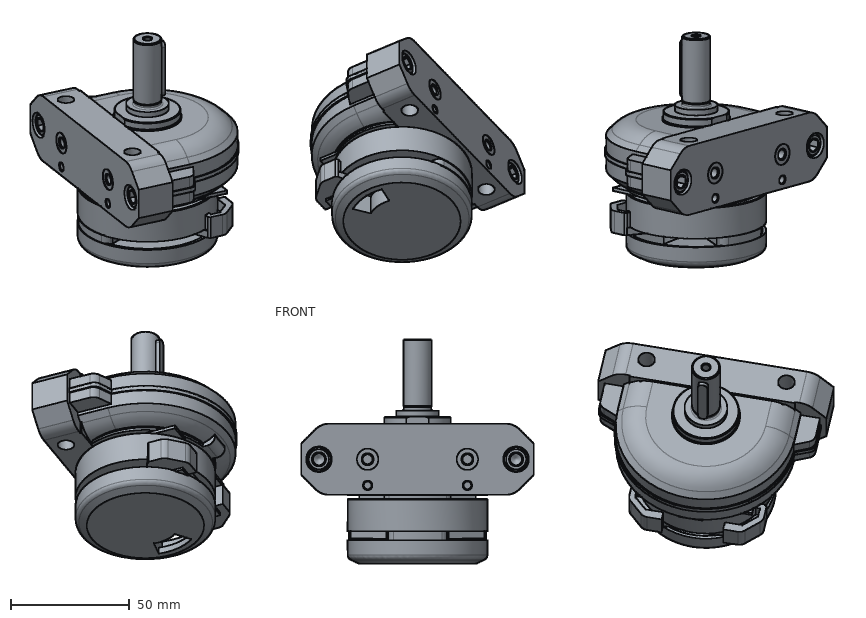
import cadquery as cq
import math


block_width = 98.0
block_height = 30.0
block_front = -30.0
block_back = -13.75
block_chamfer = 8.4
block_corner_radius = 8.0
pad_half_width = 35.5
pad_back = -13.2
through_hole_d = 7.0
through_hole_x = 30.0
through_hole_y = -23.0
port_x = 21.0
port_d = 4.13
port_mouth_d = 5.1
port_spotface_d = 9.0
port_spotface_depth = 0.2
port_depth = 12.0
tapped_hole_z = -11.0
tapped_d = 3.24
tapped_mouth_d = 4.0
tapped_depth = 10.0

screw_x = 41.5
screw_d = 6.0
screw_length = 16.0
head_d = 10.0
head_rim_d = 8.5
head_height = 6.0
head_bore_d = 10.8
head_sink = 0.8
socket_flats = 5.0
socket_depth = 5.0
socket_turn = 30.0
socket_mouth_d = 6.0
socket_mouth_depth = 0.15
socket_corner_d = 2 * socket_flats / math.sqrt(3)

casing_radius = 38.0
casing_wall_z = 7.5
casing_bevel = 2.4
casing_top_radius = 25.5
bevel_radius = casing_radius - casing_bevel
bevel_z = casing_wall_z + casing_bevel
crown_radius = (bevel_radius - casing_top_radius) * math.sqrt(2)
casing_top = bevel_z + crown_radius * (1 - math.cos(math.pi / 4))
seam_offset = 0.55
seam_half_height = 1.0
lug_half_height = 6.0
lug_x = 46.2
lug_root = (38.0, 1.7)
lug_slope = 25.0
lug_corner_radius = 3.8
gap_half_width = 31.0
gap_depth = 1.4
gap_back = -13.0

ring_radius = 14.0
ring_top = 17.8
ring_flat = pad_back
ring_step_radius = 14.4
ring_step_top = 14.7
small_chamfer = 0.35

base_radius = 29.6
base_step = 0.25
base_step_z = -14.0
base_bottom = -15.2
rear_rib_width = 10.0
rear_rib_end = 34.5
rear_rib_root = 28.0
rear_rib_top = -10.5
rear_rib_radius = 3.5

drum_radius = 29.5
drum_top = -16.7
drum_bottom = -30.2
foot_top = -34.0
foot_bottom = -44.0
foot_bottom_radius = 24.7
foot_cone_angle = 26.0
foot_edge_radius = 2.4
foot_recess_radius = 28.0
foot_floor = -34.5
upper_core_radius = 14.0
upper_boss_half_width = 14.0
upper_boss_reach = 26.8
upper_boss_shoulder = -20.5
wing_x = (14.0, 24.6)
wing_front = (6.7, 11.8)
wing_back = 25.0
lower_core_radius = 13.0
lower_boss_half_width = 12.4
lower_boss_reach = 29.2
lower_boss_shoulder = -23.0
boss_root_half_width = 6.0
boss_root_y = -11.0
boss_corner_radius = 3.5
rear_support_half_width = 19.0
rear_support_y = (14.0, 26.0)

drum_lug_top = -23.7
drum_lug_bottom = -33.4
drum_lug_x = (13.2, 28.9)
drum_lug_y = (13.9, 29.8)
drum_lug_chamfer = 7.8
drum_lug_corner_radius = 4.0
drum_lug_front_chamfer = 0.9
lug_pocket_x = (drum_lug_x[0], 26.4)
lug_pocket_y = (16.3, 26.1)
lug_pocket_chamfer = 5.6
lug_pocket_depth = 5.0
arm_front = 6.2
arm_x_end = 28.1

foot_opening_inner_radius = 14.0
foot_opening_lower_radius = 22.0
foot_opening_step = -41.0
foot_opening_angles = (143.0, 190.0)

shaft_d = 12.0
shaft_top = 50.5
shaft_chamfer = 0.5
journal_d = 15.0
journal_bottom = 8.0
collar_d = 18.0
collar_bottom = 18.1
collar_top = 20.5
neck_d = 11.6
neck_top = 22.0
neck_taper_top = 22.6
neck_fillet = 0.6
centre_hole_depth = 10.0
key_width = 4.0
key_height = 4.0
key_length = 25.0
key_bottom_z = 22.8
key_face_y = 7.5

drill_point_angle = 118.0


def box_between(x_range, y_range, z_range):
    """Box spanning the given X, Y and Z ranges."""
    size = [end - start for start, end in (x_range, y_range, z_range)]
    box = cq.Workplane("XY").box(*size, centered=False)
    return box.translate((x_range[0], y_range[0], z_range[0]))


def disc(radius, bottom, top):
    """Cylinder about the Z axis."""
    return cq.Workplane("XY").workplane(offset=bottom).circle(radius).extrude(top - bottom)


def cylinder_along_y(diameter, x, z, start, end):
    """Cylinder parallel to Y between two Y positions."""
    plane = cq.Workplane("XZ", origin=(x, start, z))
    return plane.circle(diameter / 2).extrude(start - end)


def mouthed_hole(x, z, start, diameter, mouth_d, depth):
    """Flat-bottomed hole going +Y with a 45 degree countersunk mouth."""
    mouth_depth = (mouth_d - diameter) / 2
    outline = [
        (0, 0), (mouth_d / 2, 0), (diameter / 2, mouth_depth), (diameter / 2, depth), (0, depth),
    ]
    hole = cq.Workplane("XY").polyline(outline).close().revolve(360, (0, 0), (0, 1))
    return hole.translate((x, start, z))


head_face = block_front + head_sink
head_seat = head_face + head_height
screw_end = head_seat + screw_length


def make_block():
    block = (
        cq.Workplane("XZ", origin=(0, block_back, 0))
        .rect(block_width, block_height)
        .extrude(block_back - block_front)
        .edges("|Y").chamfer(block_chamfer)
    )
    block = block.edges("|Y").edges(">Z or <Z").fillet(block_corner_radius)
    pad = box_between(
        (-pad_half_width, pad_half_width),
        (block_back, pad_back),
        (-block_height / 2, block_height / 2),
    )
    block = block.union(pad)
    for side in (-1, 1):
        through_hole = (
            cq.Workplane("XY", origin=(side * through_hole_x, through_hole_y, 0))
            .circle(through_hole_d / 2)
            .extrude(block_height, both=True)
        )
        spotface_floor = block_front + port_spotface_depth
        spotface = cylinder_along_y(port_spotface_d, side * port_x, 0, block_front, spotface_floor)
        port = mouthed_hole(side * port_x, 0, spotface_floor, port_d, port_mouth_d, port_depth)
        tapped_hole = mouthed_hole(
            side * port_x, tapped_hole_z, block_front, tapped_d, tapped_mouth_d, tapped_depth
        )
        head_bore = cylinder_along_y(head_bore_d, side * screw_x, 0, block_front, head_seat)
        screw_hole = cylinder_along_y(screw_d, side * screw_x, 0, head_seat, screw_end)
        for cutter in (through_hole, spotface, port, tapped_hole, head_bore, screw_hole):
            block = block.cut(cutter)
    return block


def make_screw(side):
    """Cap screw with a chamfered head and a hexagon socket ending in a drill point."""
    head_chamfer = (head_d - head_rim_d) / 2
    outline = [
        (0, 0),
        (head_rim_d / 2, 0),
        (head_d / 2, head_chamfer),
        (head_d / 2, head_height),
        (screw_d / 2, head_height),
        (screw_d / 2, head_height + screw_length),
        (0, head_height + screw_length),
    ]
    screw = cq.Workplane("XY").polyline(outline).close().revolve(360, (0, 0), (0, 1))
    socket = cq.Workplane("XZ").polygon(6, socket_corner_d).extrude(-socket_depth)
    socket = socket.rotate((0, 0, 0), (0, 1, 0), socket_turn)
    point_depth = socket_flats / 2 / math.tan(math.radians(drill_point_angle / 2))
    point_outline = [(0, socket_depth), (socket_flats / 2, socket_depth), (0, socket_depth + point_depth)]
    point = cq.Workplane("XY").polyline(point_outline).close().revolve(360, (0, 0), (0, 1))
    mouth = cylinder_along_y(socket_mouth_d, 0, 0, 0, socket_mouth_depth)
    return screw.cut(socket).cut(point).cut(mouth).translate((side * screw_x, head_face, 0))


def casing_profile():
    """Half section of the casing, from the axis to the rim, in the XZ plane."""
    crown_mid_radius = casing_top_radius + crown_radius * math.sin(math.pi / 8)
    crown_mid_z = casing_top - crown_radius * (1 - math.cos(math.pi / 8))
    return (
        cq.Workplane("XZ")
        .moveTo(0, casing_top)
        .lineTo(casing_top_radius, casing_top)
        .threePointArc((crown_mid_radius, crown_mid_z), (bevel_radius, bevel_z))
        .lineTo(casing_radius, casing_wall_z)
        .lineTo(casing_radius, -casing_wall_z)
        .lineTo(bevel_radius, -bevel_z)
        .threePointArc((crown_mid_radius, -crown_mid_z), (casing_top_radius, -casing_top))
        .lineTo(0, -casing_top)
        .close()
    )


def make_lug_pair(offset, half_height):
    """Both screw lugs, grown outwards by an offset."""
    rise = math.tan(math.radians(lug_slope))
    root_y = lug_root[1] + offset
    outer_x = lug_x + offset
    outline = [
        (0, block_back),
        (outer_x, block_back),
        (outer_x, root_y - rise * (lug_x - lug_root[0])),
        (lug_root[0], root_y),
        (0, root_y),
    ]
    lug = (
        cq.Workplane("XY", origin=(0, 0, -half_height))
        .polyline(outline).close()
        .extrude(2 * half_height)
    )
    lug = lug.edges("|Z").edges(">X").edges(">Y").fillet(lug_corner_radius)
    return lug.union(lug.mirror("YZ"))


def d_shape(radius, flat_y, bottom, top):
    """Disc about Z with a flat at its front."""
    front = box_between((-radius, radius), (-2 * radius, flat_y), (bottom, top))
    return disc(radius, bottom, top).cut(front)


def make_shell():
    dome = casing_profile().revolve(180, (0, 0), (0, 1))
    half = casing_profile().extrude(-block_back)
    shell = dome.union(half).union(half.mirror("YZ"))
    shell = shell.union(make_lug_pair(0, lug_half_height))
    seam_radius = casing_radius + seam_offset
    seam = disc(seam_radius, -seam_half_height, seam_half_height)
    seam_walls = box_between(
        (-seam_radius, seam_radius), (block_back, 0), (-seam_half_height, seam_half_height)
    )
    seam_front = box_between(
        (-seam_radius, seam_radius), (-2 * seam_radius, block_back), (-casing_top, casing_top)
    )
    seam = seam.union(seam_walls).cut(seam_front)
    shell = shell.union(seam).union(make_lug_pair(seam_offset, seam_half_height))
    pad_room = box_between(
        (-pad_half_width, pad_half_width), (block_back, pad_back), (-casing_top, casing_top)
    )
    clearance = box_between(
        (-gap_half_width, gap_half_width), (pad_back, gap_back), (casing_top - gap_depth, casing_top)
    )
    return shell.cut(pad_room).cut(clearance)


def make_top_ring():
    ring = disc(ring_radius, casing_top, ring_top).faces(">Z").chamfer(small_chamfer)
    ring = ring.union(disc(ring_step_radius, casing_top, ring_step_top))
    front = box_between(
        (-ring_step_radius, ring_step_radius), (-2 * ring_radius, ring_flat), (casing_top, ring_top)
    )
    return ring.cut(front)


def make_rear_rib():
    """Rounded rib under the rear edge of the casing."""
    rib = box_between(
        (-rear_rib_width / 2, rear_rib_width / 2),
        (rear_rib_root, rear_rib_end),
        (base_bottom, rear_rib_top),
    )
    return rib.edges("|X").edges(">Y and <Z").fillet(rear_rib_radius)


def wedge(outline, bottom, top):
    """Straight-sided prism with a plan outline in X and Y."""
    return cq.Workplane("XY", origin=(0, 0, bottom)).polyline(outline).close().extrude(top - bottom)


def front_boss(half_width, reach, shoulder_y, bottom, top):
    """Boss flaring forwards from the core to a shoulder, with a round front and rounded corners."""
    outline = [
        (-boss_root_half_width, boss_root_y),
        (-half_width, shoulder_y),
        (-half_width, -reach),
        (half_width, -reach),
        (half_width, shoulder_y),
        (boss_root_half_width, boss_root_y),
    ]
    boss = wedge(outline, bottom, top).intersect(disc(reach, bottom, top))
    return boss.edges("|Z").edges("<Y").fillet(boss_corner_radius)


def make_drum_lug():
    """Pocketed rear lug on the +X side, with an arm reaching forwards below the drum."""
    lug = box_between(drum_lug_x, drum_lug_y, (drum_lug_bottom, drum_lug_top))
    lug = lug.edges("|Z").edges(">X and >Y").chamfer(drum_lug_chamfer)
    lug = lug.faces("#Z").faces(">(1, 1, 0)").edges("|Z").fillet(drum_lug_corner_radius)
    lug = lug.edges("|Z").edges(">X and <Y").chamfer(drum_lug_front_chamfer)
    pocket_floor = drum_lug_top - lug_pocket_depth
    pocket = box_between(lug_pocket_x, lug_pocket_y, (pocket_floor, drum_lug_top))
    pocket = pocket.edges("|Z").edges(">X and >Y").chamfer(lug_pocket_chamfer)
    lug = lug.cut(pocket)
    arm = wedge(
        [(drum_lug_x[0], arm_front), (arm_x_end, drum_lug_y[0]), (drum_lug_x[0], drum_lug_y[0])],
        drum_lug_bottom,
        drum_bottom,
    )
    return lug.union(arm)


def foot_opening(outer_radius, bottom, top):
    """Sector of a ring about Z, spanning the opening angles."""
    start, end = foot_opening_angles
    radial_plane = cq.Plane(
        origin=(0, 0, 0),
        xDir=(math.cos(math.radians(start)), math.sin(math.radians(start)), 0),
        normal=(math.sin(math.radians(start)), -math.cos(math.radians(start)), 0),
    )
    return (
        cq.Workplane(radial_plane)
        .moveTo(foot_opening_inner_radius, bottom)
        .lineTo(outer_radius, bottom)
        .lineTo(outer_radius, top)
        .lineTo(foot_opening_inner_radius, top)
        .close()
        .revolve(end - start, (0, 0), (0, 1))
    )


def make_foot():
    """Bottom disc with a rounded edge running into a shallow cone, and a side opening."""
    rim_z = foot_bottom + (drum_radius - foot_bottom_radius) * math.tan(math.radians(foot_cone_angle))
    outline = [
        (0, foot_top),
        (drum_radius, foot_top),
        (drum_radius, rim_z),
        (foot_bottom_radius, foot_bottom),
        (0, foot_bottom),
    ]
    foot = cq.Workplane("XZ").polyline(outline).close().revolve(360, (0, 0), (0, 1))
    foot = foot.edges(cq.selectors.NearestToPointSelector((0, 0, rim_z))).fillet(foot_edge_radius)
    recess = disc(foot_recess_radius, foot_floor, foot_top)
    upper_opening = foot_opening(foot_recess_radius, foot_opening_step, foot_top)
    lower_opening = foot_opening(foot_opening_lower_radius, foot_bottom, foot_opening_step)
    return foot.cut(recess).cut(upper_opening).cut(lower_opening)


def make_drum():
    drum = disc(drum_radius, drum_bottom, drum_top).faces(">Z").chamfer(small_chamfer)
    drum_lug = make_drum_lug()
    wing = wedge(
        [
            (wing_x[0], wing_front[0]),
            (wing_x[1], wing_front[1]),
            (wing_x[1], wing_back),
            (wing_x[0], wing_back),
        ],
        drum_top,
        base_bottom,
    )
    rear_support = box_between(
        (-rear_support_half_width, rear_support_half_width), rear_support_y, (foot_floor, drum_bottom)
    )
    features = [
        disc(upper_core_radius, drum_top, base_bottom),
        front_boss(upper_boss_half_width, upper_boss_reach, upper_boss_shoulder, drum_top, base_bottom),
        wing,
        wing.mirror("YZ"),
        drum_lug,
        drum_lug.mirror("YZ"),
        disc(lower_core_radius, foot_floor, drum_bottom),
        front_boss(lower_boss_half_width, lower_boss_reach, lower_boss_shoulder, foot_floor, drum_bottom),
        rear_support,
        make_foot(),
    ]
    for feature in features:
        drum = drum.union(feature)
    return drum


def make_casing():
    """Motor casing with its top ring, base plate, rear rib and drum."""
    casing = make_shell().union(make_top_ring()).union(make_rear_rib())
    casing = casing.union(d_shape(base_radius, gap_back, base_step_z, -bevel_z))
    casing = casing.union(d_shape(base_radius - base_step, gap_back, base_bottom, base_step_z))
    casing = casing.union(make_drum())
    casing = casing.cut(disc(journal_d / 2, journal_bottom, ring_top))
    for side in (-1, 1):
        casing = casing.cut(cylinder_along_y(screw_d, side * screw_x, 0, block_back, screw_end))
    return casing


def make_shaft():
    """Stepped shaft with a feather key and a tapped centre hole in its top."""
    outline = (
        cq.Workplane("XZ")
        .moveTo(0, journal_bottom)
        .lineTo(journal_d / 2, journal_bottom)
        .lineTo(journal_d / 2, collar_bottom)
        .lineTo(collar_d / 2, collar_bottom)
        .lineTo(collar_d / 2, collar_top)
        .lineTo(neck_d / 2 + neck_fillet, collar_top)
        .radiusArc((neck_d / 2, collar_top + neck_fillet), neck_fillet)
        .lineTo(neck_d / 2, neck_top)
        .lineTo(shaft_d / 2, neck_taper_top)
        .lineTo(shaft_d / 2, shaft_top - shaft_chamfer)
        .lineTo(shaft_d / 2 - shaft_chamfer, shaft_top)
        .lineTo(0, shaft_top)
        .close()
    )
    shaft = outline.revolve(360, (0, 0), (0, 1))
    key = (
        cq.Workplane("XZ", origin=(0, key_face_y, key_bottom_z + key_length / 2))
        .slot2D(key_length, key_width, 90)
        .extrude(key_height)
    )
    mouth_depth = (tapped_mouth_d - tapped_d) / 2
    point_depth = tapped_d / 2 / math.tan(math.radians(drill_point_angle / 2))
    hole_outline = [
        (0, shaft_top),
        (tapped_mouth_d / 2, shaft_top),
        (tapped_d / 2, shaft_top - mouth_depth),
        (tapped_d / 2, shaft_top - centre_hole_depth),
        (0, shaft_top - centre_hole_depth - point_depth),
    ]
    centre_hole = cq.Workplane("XZ").polyline(hole_outline).close().revolve(360, (0, 0), (0, 1))
    return shaft.union(key).cut(centre_hole)


block = make_block()
casing = make_casing()
shaft = make_shaft()
screws = [make_screw(side) for side in (-1, 1)]

result = cq.Compound.makeCompound(
    [block.val(), casing.val(), shaft.val(), *[screw.val() for screw in screws]]
)